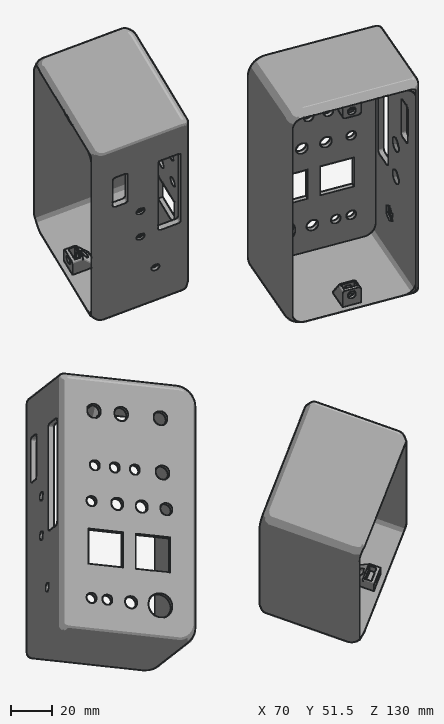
import cadquery as cq

width = 70.0
depth = 51.5
height = 130.0
wall = 3.0
back_wall = 2.5
mid_x = width / 2

left_corner_radius = 10.0
rim_chamfer = wall
rim_fillet = 5.1
back_chamfer = 3.0
back_fillet = 3.0
cavity_corner_radius = 6.0

boss_width = 9.6
boss_length = 6.0
boss_gusset_length = 6.5
gusset_tip_height = 1.2
boss_reach = 12.5
boss_setback = 3.0
boss_fillet = 1.5
boss_hole_diameter = 4.2
boss_hole_reach = 9.1
nut_slot_width = 7.0
nut_slot_thickness = 3.2
nut_slot_front_wall = 1.8
nut_slot_depth = 7.0

small_hole = 5.1
medium_hole = 6.1
large_hole = 7.0
jack_hole = 12.1
back_hole_rows = [
    (111.7, [(19.2, large_hole), (39.3, large_hole), (53.2, large_hole)]),
    (84.6, [(18.2, large_hole), (32.2, small_hole), (42.5, small_hole), (52.6, small_hole)]),
    (66.5, [(16.2, medium_hole), (28.7, medium_hole), (41.2, medium_hole), (54.3, small_hole)]),
    (18.2, [(19.2, jack_hole), (34.2, medium_hole), (46.3, small_hole), (54.3, small_hole)]),
]

window_size = 17.5
window_z = 44.0
window_xs = [23.0, 47.0]

side_slots = [(39.9, 12.1, 54.7, 108.2), (13.9, 8.0, 85.5, 108.2)]
slot_corner_radius = 1.8
side_hole_y = 24.6
side_hole_zs = [74.9, 55.2]
side_hole_diameter = 4.3
countersink_diameter = 7.5
nut_hole_y = 32.5
nut_hole_z = 27.3
nut_width = 7.5
nut_pocket_depth = 1.0

pick_margin = 0.01


def edges_within(body, x_min, y_range, z_range):
    """Edges lying wholly in the given Y and Z ranges and between x_min and the +X face."""
    low = (x_min, y_range[0] - pick_margin, z_range[0] - pick_margin)
    high = (width + pick_margin, y_range[1] + pick_margin, z_range[1] + pick_margin)
    return body.edges(cq.selectors.BoxSelector(low, high, boundingbox=True))


def outer_body():
    body = cq.Workplane("XY").box(width, depth, height, centered=False)
    body = body.edges("|Y and <X").fillet(left_corner_radius)
    body = body.faces("<Y").chamfer(rim_chamfer)
    body = body.faces(">Y").chamfer(back_chamfer)

    full_height = (0, height)
    rim_y = (rim_chamfer, rim_chamfer)
    body = edges_within(body, -pick_margin, rim_y, full_height).fillet(rim_fillet)

    corner_size = max(rim_chamfer, back_chamfer)
    corner_x = width - corner_size - pick_margin
    corner_heights = [(0, corner_size), (height - corner_size, height)]
    blend = body.newObject([])
    for back_y in (depth - back_chamfer, depth):
        blend = blend.add(edges_within(body, -pick_margin, (back_y, back_y), full_height))
    for corner_z in corner_heights:
        blend = blend.add(edges_within(body, corner_x, (0, depth), corner_z))
    return body.newObject(blend.vals()).fillet(back_fillet)


def cavity():
    return (
        cq.Workplane("XY")
        .box(width - 2 * wall, depth - back_wall, height - 2 * wall, centered=False)
        .translate((wall, 0, wall))
        .edges("|Y")
        .fillet(cavity_corner_radius)
    )


def y_cylinder(x, z, diameter, start_y, length):
    """Cylinder of the given length running towards +Y."""
    start = cq.Vector(x, start_y, z)
    return cq.Workplane(cq.Solid.makeCylinder(diameter / 2, length, start, cq.Vector(0, 1, 0)))


def bottom_boss():
    """Screw boss on the bottom wall, with a gusset behind it and a slot for a nut."""
    front_y = boss_setback
    back_y = front_y + boss_length
    foot_z = wall / 2
    boss = (
        cq.Workplane("YZ")
        .moveTo(front_y, foot_z)
        .lineTo(front_y, boss_reach)
        .lineTo(back_y, boss_reach)
        .lineTo(back_y + boss_gusset_length, wall + gusset_tip_height)
        .lineTo(back_y + boss_gusset_length, foot_z)
        .close()
        .extrude(boss_width / 2, both=True)
        .translate((mid_x, 0, 0))
    )
    side_edges = boss.faces(">Z").edges("|Y").add(boss.edges("not(|X or |Y or |Z)"))
    boss = boss.newObject(side_edges.vals()).fillet(boss_fillet)
    nut_slot = (
        cq.Workplane("XY")
        .box(nut_slot_width, nut_slot_thickness, nut_slot_depth, centered=(True, False, False))
        .translate((mid_x, front_y + nut_slot_front_wall, boss_reach - nut_slot_depth))
    )
    full_length = boss_length + boss_gusset_length
    screw_hole = y_cylinder(mid_x, boss_hole_reach, boss_hole_diameter, front_y, full_length)
    return boss.cut(nut_slot).cut(screw_hole)


def back_wall_openings():
    wall_mid_y = depth - back_wall / 2
    cut_length = 2 * back_wall
    start_y = wall_mid_y - cut_length / 2
    cutters = cq.Workplane("XY")
    for z, holes in back_hole_rows:
        for x, diameter in holes:
            cutters = cutters.add(y_cylinder(x, z, diameter, start_y, cut_length))
    for x in window_xs:
        window = cq.Workplane("XY").box(window_size, cut_length, window_size)
        cutters = cutters.add(window.translate((x, wall_mid_y, window_z)))
    return cutters.combine()


def side_wall_openings():
    inner_x = width - wall
    inner_face = cq.Workplane("YZ", origin=(inner_x, 0, 0))
    cutters = cq.Workplane("XY")

    for y, slot_width, bottom_z, top_z in side_slots:
        slot = (
            inner_face.center(y, (bottom_z + top_z) / 2)
            .rect(slot_width, top_z - bottom_z)
            .extrude(wall)
            .edges("|X")
            .fillet(slot_corner_radius)
        )
        cutters = cutters.add(slot)

    screw_points = [(side_hole_y, z) for z in side_hole_zs]
    countersink_depth = (countersink_diameter - side_hole_diameter) / 2
    for y, z in screw_points + [(nut_hole_y, nut_hole_z)]:
        cutters = cutters.add(inner_face.center(y, z).circle(side_hole_diameter / 2).extrude(wall))
    for y, z in screw_points:
        cone = cq.Solid.makeCone(
            countersink_diameter / 2,
            side_hole_diameter / 2,
            countersink_depth,
            cq.Vector(inner_x, y, z),
            cq.Vector(1, 0, 0),
        )
        cutters = cutters.add(cq.Workplane(cone))

    nut_pocket = (
        inner_face.center(nut_hole_y, nut_hole_z)
        .polygon(6, nut_width, circumscribed=True)
        .extrude(nut_pocket_depth)
    )
    return cutters.add(nut_pocket).combine()


boss_at_bottom = bottom_boss()
boss_at_top = boss_at_bottom.mirror("XY", (0, 0, height / 2))
result = (
    outer_body()
    .cut(cavity())
    .union(boss_at_bottom)
    .union(boss_at_top)
    .cut(back_wall_openings())
    .cut(side_wall_openings())
)